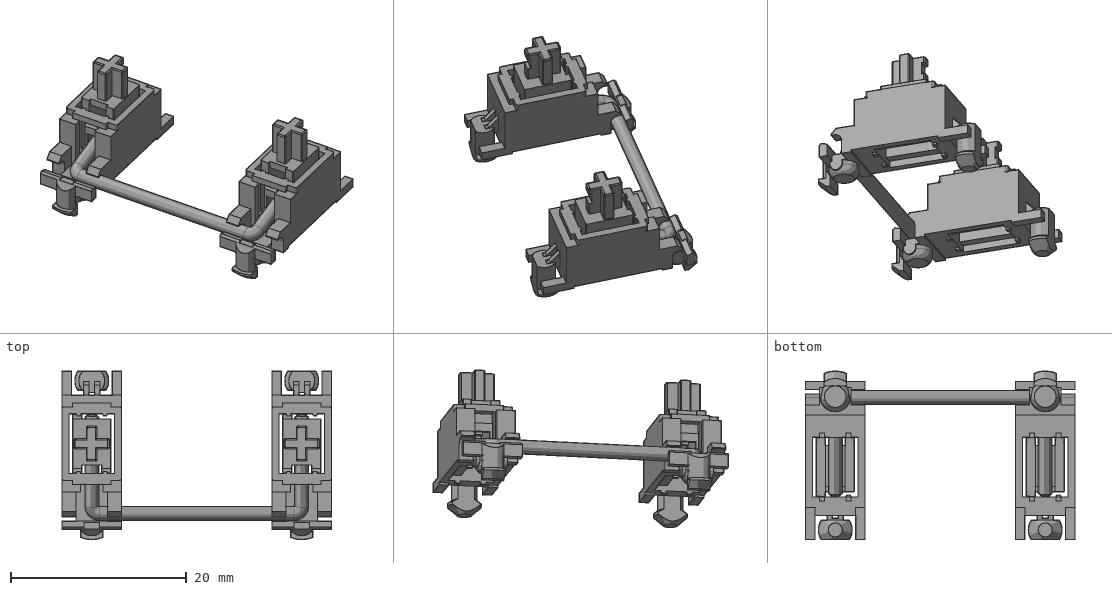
import cadquery as cq
import math


overall_width = 30.7
housing_width = 6.82
half_width = housing_width / 2
unit_offset = (overall_width - housing_width) / 2

body_half_length = 5.53
body_top = 6.23
foot_bottom = -0.25

rim_top = 7.0
rim_half_length = 4.18
rim_corner = 0.28
rim_tongue_half_width = 2.2
rim_tongue_end = 4.65

opening_half_width = 2.58
opening_half_length = 3.38
rib_x = 1.5
rib_depth = 0.2
rib_half_base = 0.35
rib_half_tip = 0.15
rib_bottom = 3.68

wire_diameter = 1.6
wire_clearance_diameter = 1.7
wire_y = -7.92
wire_z = 1.38
wire_tilt = 14.0
wire_bend_radius = 0.9
wire_end_y = 3.2
wire_end_chamfer = 0.25

recess_half_width = 1.1
recess_mouth_half_width = 1.3
recess_floor_y = -3.78
recess_ledge_top = 2.5
recess_slope_bottom = 5.05
wire_window_top = 4.08

hook_inner_x = 1.8
hook_top = 3.0
hook_slope_y = -7.7
hook_tip_y = -8.32
hook_tip_z = 2.33
hook_foot_y = -5.93

floor_top = 0.52
floor_end_y = -8.8
stub_y = -8.0
stub_radius = 1.72
stub_bottom = -1.78
stub_round_top = -0.75
stub_base_radius = 1.23
stub_arc_radius = 1.57
stub_arc_z = -1.4
slab_y = -8.32
slab_half_thickness = 0.75
slab_bottom = -1.38

bar_front_y = -9.75
bar_ridge_y = -9.5
bar_back_top = 1.2
bar_ridge_top = 1.4
bar_front_top = 1.17
bar_notch_half_width = 0.85
bar_notch_y = -9.0

snap_half_width = 1.25
snap_back_y = -9.25
snap_post_y = -10.47
snap_slope_bottom = 0.52
snap_relief_top = -0.92
snap_tip_y = -10.93
snap_tip_side_y = -10.65
snap_top = -1.95
snap_tip_height = 0.28
snap_tip_bevel = 0.85
snap_bottom = -3.05

rear_y = 8.25
arm_inner_x = 2.3
arm_top = 0.8
arm_root_y = 4.6

post_y = 7.15
post_flat = rear_y - post_y
post_radius = 1.47
post_top = 2.0
post_flare_top = -1.45
lip_radius = 1.93
lip_top = -1.78
lip_bottom = -2.1
post_tip_radius = 0.8
post_bottom = -3.1

gusset_inner_x = 0.35
gusset_outer_x = 0.92
gusset_top = 3.25
gusset_bottom = 1.1
gusset_end_y = 7.05
gusset_slope_end_y = 6.7
gusset_step = 0.1
web_y = 5.8

pad_half_width = 0.3
pad_length = 0.5

stem_top = 8.0
stem_half_width = 2.18
stem_half_length = 2.82
stem_bottom = 0.6
stem_plate_bottom = 7.15
stem_corner_bevel = 0.1
stem_channel_half_width = 1.15
stem_rear_wall = 0.6
stem_rear_wall_bottom = 5.22
stem_notch_y = -2.45
tab_end_y = 3.35
tab_top = rib_bottom

cross_top = 11.75
cross_half_length = 2.0
cross_half_thickness = 0.6
cross_chamfer_height = 0.18
cross_chamfer_inset = 0.1
cross_corner_bevel = 0.12
cross_slot_depth = 0.4
cross_slot_bottom = 9.6
cross_slot_top = 10.95


def block(x0, x1, y0, y1, z0, z1):
    """Rectangular block between two corners."""
    return cq.Workplane("XY").box(x1 - x0, y1 - y0, z1 - z0, centered=False).translate((x0, y0, z0))


def wide_block(half_x, y0, y1, z0, z1):
    """Rectangular block symmetric about X = 0."""
    return block(-half_x, half_x, y0, y1, z0, z1)


def side_prism(points, x0, x1):
    """Prism along X whose (Y, Z) outline is given by straight edges."""
    return cq.Workplane("YZ", origin=(x0, 0, 0)).polyline(points).close().extrude(x1 - x0)


def both_sides(shape):
    """The shape together with its mirror image across X = 0."""
    return shape.union(shape.mirror("YZ"))


def wire_axis_z(y):
    """Height of the wire leg's axis at a given Y."""
    return wire_z + (y - wire_y) * math.tan(math.radians(wire_tilt))




def housing_rim():
    """Raised frame with a wider tongue at each end."""
    height = rim_top - body_top
    frame = wide_block(half_width, -rim_half_length, rim_half_length, body_top, rim_top)
    frame = frame.edges("|Z").fillet(rim_corner)
    tongue = cq.Workplane("XY").workplane(offset=body_top)
    tongue = tongue.rect(2 * rim_tongue_half_width, 2 * rim_tongue_end).extrude(height)
    return frame.union(tongue)


def opening_rib(side, end):
    """Small trapezoid rib on an end wall of the stem opening; side and end are -1 or 1."""
    x = side * rib_x
    root_y = end * opening_half_length
    tip_y = end * (opening_half_length - rib_depth)
    return (
        cq.Workplane("XY", origin=(0, 0, rib_bottom))
        .moveTo(x - rib_half_base, root_y)
        .lineTo(x - rib_half_tip, tip_y)
        .lineTo(x + rib_half_tip, tip_y)
        .lineTo(x + rib_half_base, root_y)
        .close()
        .extrude(rim_top - rib_bottom)
    )


def front_recess():
    """Recess in the front wall, wider at its mouth, with a sloped back above a ledge."""
    mouth = wide_block(recess_mouth_half_width, -body_half_length, -rim_tongue_end, floor_top, body_top)
    inner = side_prism(
        [
            (-rim_tongue_end, recess_ledge_top),
            (recess_floor_y, recess_ledge_top),
            (recess_floor_y, recess_slope_bottom),
            (-opening_half_length, body_top),
            (-rim_tongue_end, body_top),
        ],
        -recess_half_width,
        recess_half_width,
    )
    return mouth.union(inner)


def wire_window():
    """Opening through the front wall that the wire leg rises through."""
    radius = wire_clearance_diameter / 2
    drop = radius / math.cos(math.radians(wire_tilt))
    return side_prism(
        [
            (-rim_tongue_end, wire_axis_z(-rim_tongue_end) - drop),
            (-opening_half_length, wire_axis_z(-opening_half_length) - drop),
            (-opening_half_length, wire_window_top),
            (-rim_tongue_end, wire_window_top),
        ],
        -radius,
        radius,
    )


def wire_hook():
    """Forward arm on the +X side with a rounded seat for the wire."""
    radius = wire_clearance_diameter / 2
    seat_back_y = wire_y + radius
    diagonal = radius * math.sqrt(0.5)
    return (
        cq.Workplane("YZ", origin=(hook_inner_x, 0, 0))
        .moveTo(-body_half_length, 0)
        .lineTo(-body_half_length, hook_top)
        .lineTo(hook_slope_y, hook_top)
        .lineTo(hook_tip_y, hook_tip_z)
        .lineTo(hook_tip_y, wire_z + radius)
        .lineTo(wire_y, wire_z + radius)
        .threePointArc((wire_y + diagonal, wire_z + diagonal), (seat_back_y, wire_z))
        .lineTo(seat_back_y, foot_bottom)
        .lineTo(hook_foot_y, foot_bottom)
        .lineTo(hook_foot_y, 0)
        .close()
        .extrude(half_width - hook_inner_x)
    )


def front_bar():
    """Cross bar with a ridged top and a shallow central notch."""
    bar = side_prism(
        [
            (floor_end_y, foot_bottom),
            (floor_end_y, bar_back_top),
            (bar_ridge_y, bar_ridge_top),
            (bar_front_y, bar_front_top),
            (bar_front_y, foot_bottom),
        ],
        -half_width,
        half_width,
    )
    notch = wide_block(bar_notch_half_width, bar_front_y, bar_notch_y, bar_back_top, bar_ridge_top)
    return bar.cut(notch)


def floor_and_stub():
    """Floor under the wire, with a rounded stub and a round-bottomed slab below it."""
    floor = side_prism(
        [
            (-body_half_length, 0),
            (-body_half_length, floor_top),
            (floor_end_y, floor_top),
            (floor_end_y, foot_bottom),
            (hook_foot_y, foot_bottom),
            (hook_foot_y, 0),
        ],
        -hook_inner_x,
        hook_inner_x,
    )
    stub = (
        cq.Workplane("XZ")
        .moveTo(0, foot_bottom)
        .lineTo(stub_radius, foot_bottom)
        .lineTo(stub_radius, stub_round_top)
        .threePointArc((stub_arc_radius, stub_arc_z), (stub_base_radius, stub_bottom))
        .lineTo(0, stub_bottom)
        .close()
        .revolve(360, (0, 0, 0), (0, 1, 0))
        .translate((0, stub_y, 0))
    )
    round_z = slab_bottom + slab_half_thickness
    slab = (
        cq.Workplane("YZ", origin=(-hook_inner_x, 0, 0))
        .moveTo(slab_y - slab_half_thickness, foot_bottom)
        .lineTo(slab_y - slab_half_thickness, round_z)
        .threePointArc((slab_y, slab_bottom), (slab_y + slab_half_thickness, round_z))
        .lineTo(slab_y + slab_half_thickness, foot_bottom)
        .close()
        .extrude(2 * hook_inner_x)
    )
    return floor.union(stub).union(slab)


def arc_front_block(side_y, front_y, z0, z1):
    """Block of the snap hook's width, from its flat back to a bowed front face."""
    return (
        cq.Workplane("XY", origin=(0, 0, z0))
        .moveTo(-snap_half_width, snap_back_y)
        .lineTo(-snap_half_width, side_y)
        .threePointArc((0, front_y), (snap_half_width, side_y))
        .lineTo(snap_half_width, snap_back_y)
        .close()
        .extrude(z1 - z0)
    )


def front_snap():
    """Hanging post in front of the bar, ending in an outward hook."""
    post = arc_front_block(bar_front_y, snap_post_y, snap_top, bar_front_top)
    post_bevel = side_prism(
        [
            (bar_front_y, bar_front_top),
            (snap_post_y, snap_slope_bottom),
            (snap_post_y, bar_front_top),
        ],
        -snap_half_width,
        snap_half_width,
    )
    stub_relief = side_prism(
        [
            (snap_back_y, foot_bottom),
            (snap_back_y, stub_bottom),
            (bar_front_y, snap_relief_top),
            (bar_front_y, foot_bottom),
        ],
        -snap_half_width,
        snap_half_width,
    )
    hook = arc_front_block(snap_tip_side_y, snap_tip_y, snap_bottom, snap_top)
    bevel_height = snap_top - snap_bottom - snap_tip_height
    hook = hook.faces("<Z").edges("%CIRCLE").chamfer(bevel_height, snap_tip_bevel)
    return post.cut(post_bevel).cut(stub_relief).union(hook)


def rear_post():
    """Round snap post with a lip, cut flat at its front and back."""
    post = (
        cq.Workplane("XZ")
        .polyline(
            [
                (0, post_top),
                (post_radius, post_top),
                (post_radius, post_flare_top),
                (lip_radius, lip_top),
                (lip_radius, lip_bottom),
                (post_tip_radius, post_bottom),
                (0, post_bottom),
            ]
        )
        .close()
        .revolve(360, (0, 0, 0), (0, 1, 0))
    )
    flats = wide_block(lip_radius, -post_flat, post_flat, post_bottom, post_top)
    return post.intersect(flats).translate((0, post_y, 0))


def rear_gussets():
    """Two sloped ribs and a low web that join the rear post to the body."""
    gusset = side_prism(
        [
            (body_half_length, gusset_bottom),
            (body_half_length, gusset_top),
            (gusset_slope_end_y, post_top + gusset_step),
            (gusset_end_y, post_top + gusset_step),
            (gusset_end_y, gusset_bottom),
        ],
        gusset_inner_x,
        gusset_outer_x,
    )
    web = wide_block(gusset_inner_x, web_y, post_y - post_flat, gusset_bottom, post_top)
    return both_sides(gusset).union(web)


def pads():
    """Four small pads under the end walls."""
    pad = block(
        rib_x - pad_half_width,
        rib_x + pad_half_width,
        opening_half_length,
        opening_half_length + pad_length,
        foot_bottom,
        0,
    )
    pair = both_sides(pad)
    return pair.union(pair.mirror("XZ"))


def make_housing():
    """Complete housing."""
    housing = wide_block(half_width, -body_half_length, body_half_length, 0, body_top)
    housing = housing.union(housing_rim())
    opening = wide_block(opening_half_width, -opening_half_length, opening_half_length, 0, rim_top)
    housing = housing.cut(opening)
    housing = housing.cut(front_recess()).cut(wire_window())
    for side in (-1, 1):
        for end in (-1, 1):
            housing = housing.union(opening_rib(side, end))
    housing = housing.union(both_sides(wire_hook()))
    housing = housing.union(floor_and_stub()).union(front_bar()).union(front_snap())
    rear_arm = block(arm_inner_x, half_width, arm_root_y, rear_y, foot_bottom, arm_top)
    housing = housing.union(both_sides(rear_arm))
    return housing.union(rear_post()).union(rear_gussets()).union(pads())




def cross_bar(half_x, half_y):
    """One bar of the cross, with its upright and top edges bevelled."""
    bar = wide_block(half_x, -half_y, half_y, stem_top, cross_top)
    bar = bar.edges("|Z").chamfer(cross_corner_bevel)
    return bar.faces(">Z").chamfer(cross_chamfer_height, cross_chamfer_inset)


def make_stem():
    """Sliding stem: top plate on two legs with guide tabs, a rear wall above the wire, and a cross on top."""
    stem = wide_block(stem_half_width, -stem_half_length, stem_half_length, stem_bottom, stem_top)
    stem = stem.edges("|Z").chamfer(stem_corner_bevel)
    front_tab = block(
        stem_channel_half_width, stem_half_width, -tab_end_y, -stem_half_length, stem_bottom, tab_top
    )
    rear_tab = block(
        -stem_half_width, -stem_channel_half_width, stem_half_length, tab_end_y, stem_bottom, tab_top
    )
    stem = stem.union(both_sides(front_tab)).union(rear_tab)
    channel = wide_block(
        stem_channel_half_width, -stem_half_length, stem_half_length, stem_bottom, stem_plate_bottom
    )
    rear_wall = wide_block(
        stem_channel_half_width,
        stem_half_length - stem_rear_wall,
        stem_half_length,
        stem_rear_wall_bottom,
        stem_plate_bottom,
    )
    notch = wide_block(
        stem_channel_half_width, -stem_half_length, stem_notch_y, stem_plate_bottom, stem_top
    )
    stem = stem.cut(channel.cut(rear_wall)).cut(notch)
    stem = stem.union(cross_bar(cross_half_length, cross_half_thickness))
    stem = stem.union(cross_bar(cross_half_thickness, cross_half_length))
    cross_slot = wide_block(
        cross_half_thickness,
        cross_half_length - cross_slot_depth,
        cross_half_length,
        cross_slot_bottom,
        cross_slot_top,
    )
    return stem.cut(cross_slot)




def make_wire():
    """Round wire bent to a flat U, lying in a plane that rises toward +Y."""
    tilt = math.radians(wire_tilt)
    plane = cq.Plane(
        origin=(0, wire_y, wire_z),
        xDir=(1, 0, 0),
        normal=(0, -math.sin(tilt), math.cos(tilt)),
    )
    leg_length = (wire_end_y - wire_y) / math.cos(tilt)
    straight_end = unit_offset - wire_bend_radius
    diagonal_x = straight_end + wire_bend_radius * math.sqrt(0.5)
    diagonal_y = wire_bend_radius * (1 - math.sqrt(0.5))
    path = (
        cq.Workplane(plane)
        .moveTo(-unit_offset, leg_length)
        .lineTo(-unit_offset, wire_bend_radius)
        .threePointArc((-diagonal_x, diagonal_y), (-straight_end, 0))
        .lineTo(straight_end, 0)
        .threePointArc((diagonal_x, diagonal_y), (unit_offset, wire_bend_radius))
        .lineTo(unit_offset, leg_length)
    )
    end_plane = cq.Plane(
        origin=plane.toWorldCoords((-unit_offset, leg_length, 0)),
        xDir=(1, 0, 0),
        normal=(0, -math.cos(tilt), -math.sin(tilt)),
    )
    wire = cq.Workplane(end_plane).circle(wire_diameter / 2).sweep(path)
    return wire.faces(cq.selectors.ParallelDirSelector(plane.yDir)).edges().chamfer(wire_end_chamfer)


housing = make_housing()
stem = make_stem()
wire = make_wire()

bodies = [wire.solids().val()]
for unit_x in (-unit_offset, unit_offset):
    bodies.append(housing.translate((unit_x, 0, 0)).solids().val())
    bodies.append(stem.translate((unit_x, 0, 0)).solids().val())

result = cq.Compound.makeCompound(bodies)